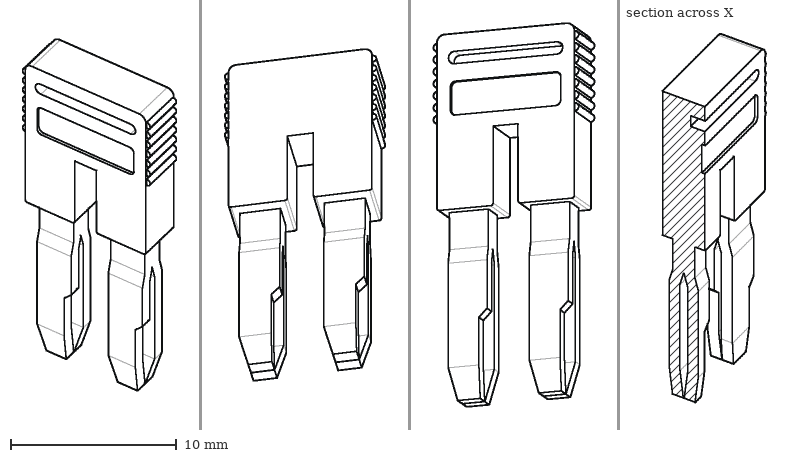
import cadquery as cq

TOTAL_HEIGHT = 22.7

HEAD_WIDTH = 8.8
HEAD_DEPTH = 3.0
HEAD_HEIGHT = 10.95
HEAD_TOP_RADIUS = 0.5
HEAD_BOTTOM_RADIUS = 0.15
GAP_WIDTH = 1.6
GAP_TOP_BELOW_HEAD_TOP = 6.0

RIB_COUNT = 7
RIB_RADIUS = 0.25
RIB_PITCH = 0.75
RIB_LENGTH = 2.81
FIRST_RIB_BELOW_HEAD_TOP = 0.75

SLOT_WIDTH = 7.3
SLOT_HEIGHT = 0.77
SLOT_DEPTH = 1.0
SLOT_CENTRE_BELOW_HEAD_TOP = 1.5
LABEL_WIDTH = 7.05
LABEL_HEIGHT = 2.1
LABEL_DEPTH = 0.2
LABEL_RADIUS = 0.35
LABEL_TOP_BELOW_HEAD_TOP = 2.97

LEG_PITCH = 5.2
LEG_WIDTH = 2.5
PRONG_THICKNESS = 0.8
PRONG_SPREAD = 0.25
TIP_SPREAD = 0.011
SPLIT_Z = 9.47
SPREAD_END_Z = 8.55
TIP_TAPER_Z = 2.05
EDGE_INSET = 0.52
NOTCH_Z = 5.52

HEAD_BOTTOM_Z = TOTAL_HEIGHT - HEAD_HEIGHT
HEAD_FRONT_Y = -HEAD_DEPTH / 2


def below_top(distance):
    """Height of a level measured down from the top of the head."""
    return TOTAL_HEIGHT - distance


def box(width, depth, bottom_z, top_z):
    """Block centred on the Z axis in X and Y."""
    return cq.Workplane("XY").workplane(offset=bottom_z).rect(width, depth).extrude(top_z - bottom_z)


def head():
    body = box(HEAD_WIDTH, HEAD_DEPTH, HEAD_BOTTOM_Z, TOTAL_HEIGHT)
    body = body.cut(box(GAP_WIDTH, HEAD_DEPTH, HEAD_BOTTOM_Z, below_top(GAP_TOP_BELOW_HEAD_TOP)))
    body = body.faces(">Z").edges("|Y").fillet(HEAD_TOP_RADIUS)
    return body.faces("<Z").edges("|Y").fillet(HEAD_BOTTOM_RADIUS)


def ribs():
    """Round bars half sunk into the two narrow sides of the head."""
    centres = [
        (side * HEAD_WIDTH / 2, below_top(FIRST_RIB_BELOW_HEAD_TOP + index * RIB_PITCH))
        for side in (-1, 1)
        for index in range(RIB_COUNT)
    ]
    return cq.Workplane("XZ").pushPoints(centres).circle(RIB_RADIUS).extrude(RIB_LENGTH / 2, both=True)


def front_face(centre_z):
    """Work plane on the front of the head, facing into the material."""
    return cq.Workplane("XZ", origin=(0, HEAD_FRONT_Y, centre_z))


def lever_slot():
    face = front_face(below_top(SLOT_CENTRE_BELOW_HEAD_TOP))
    return face.slot2D(SLOT_WIDTH, SLOT_HEIGHT).extrude(-SLOT_DEPTH)


def label_recess():
    centre_z = below_top(LABEL_TOP_BELOW_HEAD_TOP + LABEL_HEIGHT / 2)
    recess = front_face(centre_z).rect(LABEL_WIDTH, LABEL_HEIGHT).extrude(-LABEL_DEPTH)
    return recess.edges("|Y").fillet(LABEL_RADIUS)


def front_prong():
    """Prong on the -Y half of a leg: a bent strip trimmed to its tapered, notched outline."""
    bend_line = [
        (0, HEAD_BOTTOM_Z),
        (0, SPLIT_Z),
        (-PRONG_SPREAD, SPREAD_END_Z),
        (-PRONG_SPREAD, TIP_TAPER_Z),
        (-TIP_SPREAD, 0),
    ]
    outer_line = [(y - PRONG_THICKNESS, z) for y, z in reversed(bend_line)]
    strip = cq.Workplane("YZ").polyline(bend_line + outer_line).close().extrude(LEG_WIDTH / 2, both=True)

    half_width = LEG_WIDTH / 2
    outline = [
        (-half_width, HEAD_BOTTOM_Z),
        (half_width, HEAD_BOTTOM_Z),
        (half_width, NOTCH_Z),
        (half_width - EDGE_INSET, NOTCH_Z - EDGE_INSET),
        (half_width - EDGE_INSET, 0),
        (EDGE_INSET - half_width, 0),
        (-half_width, TIP_TAPER_Z),
    ]
    trim = cq.Workplane("XZ").polyline(outline).close().extrude(HEAD_DEPTH / 2, both=True)
    return strip.intersect(trim)


def leg():
    """Two identical prongs, the rear one turned half a revolution about the leg axis."""
    prong = front_prong()
    return prong.union(prong.rotate((0, 0, 0), (0, 0, 1), 180))


result = head().union(ribs()).cut(lever_slot()).cut(label_recess())
for side in (-1, 1):
    result = result.union(leg().translate((side * LEG_PITCH / 2, 0, 0)))